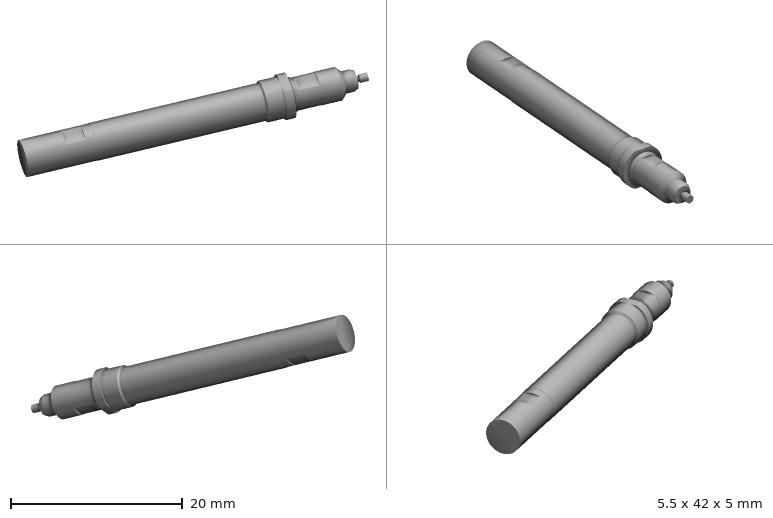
import cadquery as cq

length = 42.0

rear_radius = 2.23
rear_length = 8.53
body_radius = 2.25
body_length = 20.55

sleeve_radius = 2.5
sleeve_chamfer = 0.2
sleeve_length = 2.35
flange_radius = 2.75
flange_length = 1.1

shank_radius = 1.97
shank_length = 2.85
ring_radius = 2.1
ring_length = 0.55

front_radius = 2.0
front_length = 2.5
nose_radius = 1.35
cone_length = 0.65
nose_length = 1.0
nose_chamfer_length = 0.5
nose_face_radius = 1.1

guide_radius = 0.35
guide_length = 0.3
neck_radius = 0.25
tip_radius = 0.5
tip_length = 1.0

rear_flat_start = 4.95
rear_flat_length = 2.45
rear_flat_width = 4.0
front_flat_length = 2.5
front_flat_width = 3.5
flange_flat_width = 2 * sleeve_radius

body_end = rear_length + body_length
sleeve_start = body_end + sleeve_chamfer
flange_start = body_end + sleeve_length
flange_end = flange_start + flange_length
ring_end = flange_end + ring_length
front_start = ring_end + shank_length
front_end = front_start + front_length
nose_start = front_end + cone_length
nose_end = nose_start + nose_length
nose_face = nose_end + nose_chamfer_length
guide_end = nose_face + guide_length
tip_start = length - tip_length
front_flat_start = front_start - front_flat_length


def turned_pin():
    """Revolve the (radius, station) half profile about the Y axis."""
    ring_crest = (ring_radius, flange_end + ring_length / 2)
    rear_points = [
        (0, 0),
        (rear_radius, 0),
        (rear_radius, rear_length),
        (body_radius, rear_length),
        (body_radius, body_end),
        (sleeve_radius, sleeve_start),
        (sleeve_radius, flange_start),
        (flange_radius, flange_start),
        (flange_radius, flange_end),
        (shank_radius, flange_end),
    ]
    front_points = [
        (shank_radius, front_start),
        (front_radius, front_start),
        (front_radius, front_end),
        (nose_radius, nose_start),
        (nose_radius, nose_end),
        (nose_face_radius, nose_face),
        (guide_radius, nose_face),
        (guide_radius, guide_end),
        (neck_radius, guide_end),
        (neck_radius, tip_start),
        (tip_radius, tip_start),
        (tip_radius, length),
        (0, length),
    ]
    profile = cq.Workplane("XY").polyline(rear_points)
    profile = profile.threePointArc(ring_crest, (shank_radius, ring_end))
    profile = profile.polyline(front_points, includeCurrent=True).close()
    return profile.revolve(360, (0, 0, 0), (0, 1, 0))


def cut_flats(pin, start, flat_length, width_across):
    """Cut two opposite flats so the pin measures width_across along Z."""
    block_size = 2 * flange_radius
    block_offset = (width_across + block_size) / 2
    for side in (1, -1):
        block = cq.Workplane("XY").box(block_size, flat_length, block_size)
        pin = pin.cut(block.translate((0, start + flat_length / 2, side * block_offset)))
    return pin


result = turned_pin()
result = cut_flats(result, rear_flat_start, rear_flat_length, rear_flat_width)
result = cut_flats(result, flange_start, flange_length, flange_flat_width)
result = cut_flats(result, front_flat_start, front_flat_length, front_flat_width)